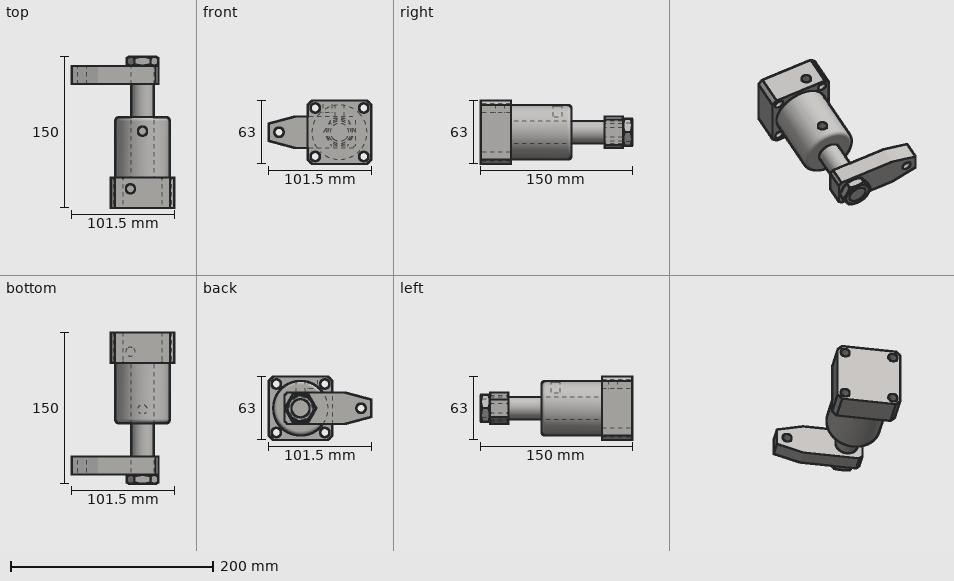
import cadquery as cq
import math

total_length = 150.0

flange_width = 63.0
flange_length = 30.0
corner_flat_width = 54.0
barrel_diameter = 54.2
barrel_end = 90.0
barrel_edge_radius = 4.0
mount_hole_spacing = 48.0
mount_hole_diameter = 9.0

port_diameter = 9.2
port_depth = 12.0
barrel_port_y = 76.0
flange_port_y = 19.0
flange_port_x = -12.0

rod_diameter = 22.5
thread_diameter = 18.0
rod_start = flange_length

lever_thickness = 18.0
lever_width = 31.5
lever_tip_x = -70.0
lever_heel_x = 16.0
lever_heel_chamfer = 3.2
lever_taper_length = 26.4
lever_taper_angle = 15.0
lever_hole_inset = 10.2
lever_hole_diameter = 9.0

nut_sides = 6
nut_height = 9.3
nut_across_flats = 27.0
nut_chamfer_angle = 30.0
nut_face_ratio = 0.95

lever_top = total_length - nut_height
lever_bottom = lever_top - lever_thickness


def section_at(y):
    """Workplane across the rod axis: local x is X, and it extrudes toward +Y."""
    return cq.Workplane(cq.Plane(origin=(0, y, 0), xDir=(1, 0, 0), normal=(0, 1, 0)))


def rod_cylinder(diameter, y_start, y_end):
    return section_at(y_start).circle(diameter / 2).extrude(y_end - y_start)


def make_flange():
    block = section_at(0).rect(flange_width, flange_width).extrude(flange_length)
    corner_diameter = math.hypot(flange_width, corner_flat_width)
    block = block.intersect(rod_cylinder(corner_diameter, 0, flange_length))
    holes = (
        section_at(0)
        .rect(mount_hole_spacing, mount_hole_spacing, forConstruction=True)
        .vertices()
        .circle(mount_hole_diameter / 2)
        .extrude(flange_length)
    )
    return block.cut(holes)


def make_barrel():
    barrel = rod_cylinder(barrel_diameter, flange_length, barrel_end)
    return barrel.faces(">Y").edges().fillet(barrel_edge_radius)


def make_port(x, y, surface_z):
    return (
        cq.Workplane("XY", origin=(x, y, surface_z - port_depth))
        .circle(port_diameter / 2)
        .extrude(port_depth)
    )


def make_housing():
    body = make_flange().union(make_barrel())
    body = body.cut(rod_cylinder(rod_diameter, rod_start, barrel_end))
    body = body.cut(make_port(0, barrel_port_y, barrel_diameter / 2))
    return body.cut(make_port(flange_port_x, flange_port_y, flange_width / 2))


def make_rod():
    shaft = rod_cylinder(rod_diameter, rod_start, lever_top)
    return shaft.union(rod_cylinder(thread_diameter, lever_top, total_length))


def make_lever():
    half_width = lever_width / 2
    half_tip = half_width - lever_taper_length * math.tan(math.radians(lever_taper_angle))
    taper_start_x = lever_tip_x + lever_taper_length
    heel_flat_x = lever_heel_x - lever_heel_chamfer
    half_heel = half_width - lever_heel_chamfer
    lever = (
        section_at(lever_bottom)
        .moveTo(lever_tip_x, -half_tip)
        .lineTo(taper_start_x, -half_width)
        .lineTo(heel_flat_x, -half_width)
        .lineTo(lever_heel_x, -half_heel)
        .lineTo(lever_heel_x, half_heel)
        .lineTo(heel_flat_x, half_width)
        .lineTo(taper_start_x, half_width)
        .lineTo(lever_tip_x, half_tip)
        .close()
        .extrude(lever_thickness)
    )
    tip_hole = (
        section_at(lever_bottom)
        .center(lever_tip_x + lever_hole_inset, 0)
        .circle(lever_hole_diameter / 2)
        .extrude(lever_thickness)
    )
    return lever.cut(tip_hole).cut(rod_cylinder(rod_diameter, lever_bottom, lever_top))


def make_nut():
    corner_radius = nut_across_flats / 2 / math.cos(math.radians(180 / nut_sides))
    face_radius = nut_face_ratio * nut_across_flats / 2
    chamfer_height = (corner_radius - face_radius) * math.tan(math.radians(nut_chamfer_angle))
    hexagon = section_at(lever_top).polygon(nut_sides, 2 * corner_radius).extrude(nut_height)
    blank = (
        cq.Workplane("XY")
        .moveTo(0, lever_top)
        .lineTo(face_radius, lever_top)
        .lineTo(corner_radius, lever_top + chamfer_height)
        .lineTo(corner_radius, total_length - chamfer_height)
        .lineTo(face_radius, total_length)
        .lineTo(0, total_length)
        .close()
        .revolve(360, (0, 0, 0), (0, 1, 0))
    )
    return hexagon.intersect(blank).cut(rod_cylinder(thread_diameter, lever_top, total_length))


housing = make_housing()
rod = make_rod()
lever = make_lever()
nut = make_nut()

result = cq.Compound.makeCompound([housing.val(), rod.val(), lever.val(), nut.val()])